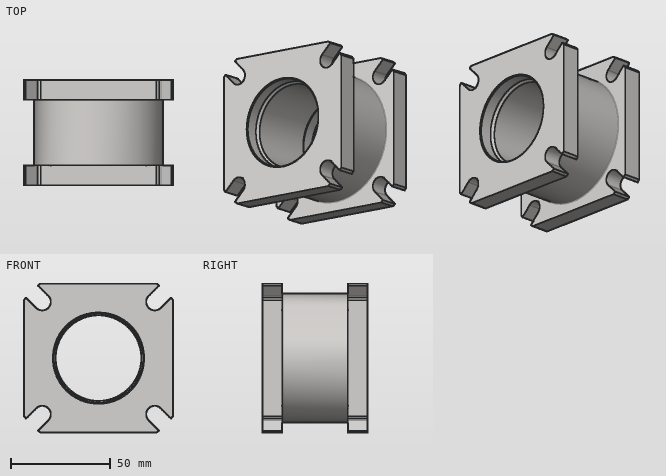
import cadquery as cq
import math

flange_side = 75.0
flange_thickness = 10.0
total_length = 53.0
corner_circle_diameter = 95.0

barrel_diameter = 65.0
root_fillet = 0.2

slot_width = 8.5
bolt_circle_diameter = 80.0
slots_per_flange = 4
first_slot_angle = 45.0

bore_diameter = 43.0
recess_diameter = 45.0
mouth_chamfer = 0.5
recess_depth = 7.0
taper_angle = 30.0


def make_flange():
    """Square plate with turned corners, lying on the XY plane."""
    plate = cq.Workplane("XY").rect(flange_side, flange_side).extrude(flange_thickness)
    corner_disc = cq.Workplane("XY").circle(corner_circle_diameter / 2).extrude(flange_thickness)
    flange = plate.intersect(corner_disc)
    for index in range(slots_per_flange):
        angle = first_slot_angle + index * 360 / slots_per_flange
        flange = flange.cut(make_slot().rotate((0, 0, 0), (0, 0, 1), angle))
    return flange


def make_slot():
    """Slot cutter along +X, round at the bolt circle and open past the flange corner."""
    inner_x = bolt_circle_diameter / 2
    open_length = corner_circle_diameter / 2
    straight = cq.Workplane("XY").center(inner_x + open_length / 2, 0).rect(open_length, slot_width)
    round_end = cq.Workplane("XY").center(inner_x, 0).circle(slot_width / 2)
    return straight.extrude(flange_thickness).union(round_end.extrude(flange_thickness))


def make_barrel():
    """Revolved barrel between the flanges with a small fillet at each flange."""
    radius = barrel_diameter / 2
    half_length = total_length / 2 - flange_thickness
    half_straight = half_length - root_fillet
    mid_offset = root_fillet * (1 - math.sqrt(0.5))
    profile = (
        cq.Workplane("XZ")
        .moveTo(0, -half_length)
        .lineTo(radius + root_fillet, -half_length)
        .threePointArc((radius + mid_offset, -half_length + mid_offset), (radius, -half_straight))
        .lineTo(radius, half_straight)
        .threePointArc((radius + mid_offset, half_length - mid_offset), (radius + root_fillet, half_length))
        .lineTo(0, half_length)
        .close()
    )
    return profile.revolve(360, (0, 0, 0), (0, 1, 0))


def make_bore():
    """Revolved cutter for the bore, its two end recesses and their mouth chamfers."""
    end = total_length / 2
    bore_radius = bore_diameter / 2
    recess_radius = recess_diameter / 2
    recess_end = end - recess_depth
    taper_length = (recess_radius - bore_radius) / math.tan(math.radians(taper_angle))
    taper_end = recess_end - taper_length
    half_outline = [
        (recess_radius + mouth_chamfer, end),
        (recess_radius, end - mouth_chamfer),
        (recess_radius, recess_end),
        (bore_radius, taper_end),
    ]
    mirrored = [(radius, -z) for radius, z in reversed(half_outline)]
    outline = [(0, end)] + half_outline + mirrored + [(0, -end)]
    return cq.Workplane("XZ").polyline(outline).close().revolve(360, (0, 0, 0), (0, 1, 0))


upper_flange = make_flange().translate((0, 0, total_length / 2 - flange_thickness))
lower_flange = upper_flange.mirror("XY")
body = make_barrel().union(upper_flange).union(lower_flange).cut(make_bore())
result = body.rotate((0, 0, 0), (1, 0, 0), 90)